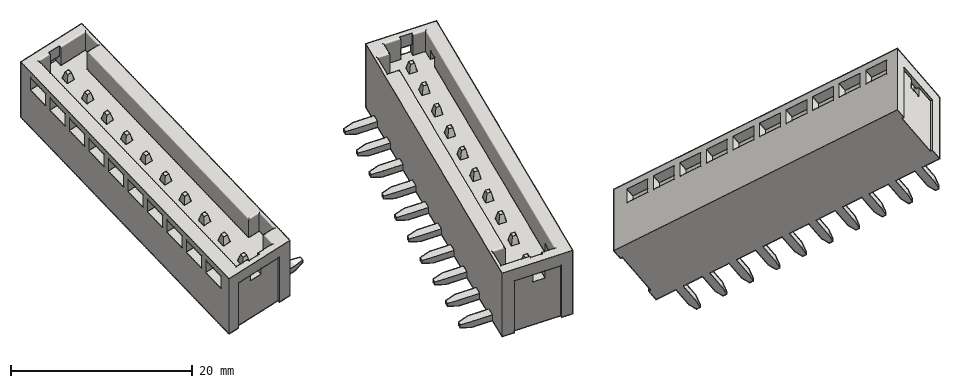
import cadquery as cq

LENGTH = 37.4
DEPTH = 8.53
HEIGHT = 10.4

CENTRE_X = 0.15
CAVITY_DEPTH = 3.35
CAVITY_LENGTH = 35.3
FRONT_WALL = 1.72
BACK_WALL = 1.87
KEYWAY_BACK_WALL = 0.4
RIM_FILLET = 0.2
LEFT_KEYWAY_WIDTH = 2.17
RIGHT_KEYWAY_WIDTH = 2.55
RIGHT_KEYWAY_OFFSET = 1.57
FLOOR_Z = HEIGHT - CAVITY_DEPTH
CAVITY_LEFT = CENTRE_X - CAVITY_LENGTH / 2
CAVITY_RIGHT = CENTRE_X + CAVITY_LENGTH / 2

PIN_COUNT = 10
PIN_ROW_SPAN = 31.5
PIN_SIZE = 0.97
TIP_SIZE = 0.5
TIP_LENGTH = 1.25
PIN_Y = 4.23
TAIL_REACH = 3.78
PITCH = PIN_ROW_SPAN / (PIN_COUNT - 1)
FIRST_PIN_X = CENTRE_X - PIN_ROW_SPAN / 2
PIN_XS = [FIRST_PIN_X + i * PITCH for i in range(PIN_COUNT)]

POCKET_WIDTH = 2.73
POCKET_HEIGHT = 2.3
POCKET_DEPTH = 1.2
SLOT_WIDTH = 1.2

PANEL_DEPTH = 0.25
PANEL_FRONT = 1.35
PANEL_BACK = 1.5
PANEL_HEIGHT = 8.5
GROOVE_WIDTH = 1.45
GROOVE_Y = 3.95
GROOVE_DEPTH = 0.3
OPENING_HEIGHT = PANEL_HEIGHT - FLOOR_Z


def block(x_start, x_end, y_min, y_max, z_min, z_max):
    """Axis-aligned box between the given limits; the limits in X may come in either order."""
    centre = ((x_start + x_end) / 2, (y_min + y_max) / 2, (z_min + z_max) / 2)
    return cq.Workplane().box(abs(x_end - x_start), y_max - y_min, z_max - z_min).translate(centre)


def make_housing():
    """Outer block with the cavity, its two keyways and the rounded rim."""
    housing = block(-LENGTH / 2, LENGTH / 2, 0, DEPTH, 0, HEIGHT)
    left = CAVITY_LEFT
    right = CAVITY_RIGHT
    back = DEPTH - BACK_WALL
    keyway_back = DEPTH - KEYWAY_BACK_WALL
    right_keyway_end = right - RIGHT_KEYWAY_OFFSET
    right_keyway_start = right_keyway_end - RIGHT_KEYWAY_WIDTH

    cavity = block(left, right, FRONT_WALL, back, FLOOR_Z, HEIGHT)
    left_keyway = block(left, left + LEFT_KEYWAY_WIDTH, back, keyway_back, FLOOR_Z, HEIGHT)
    right_keyway = block(right_keyway_start, right_keyway_end, back, keyway_back, FLOOR_Z, HEIGHT)
    housing = housing.cut(cavity.union(left_keyway).union(right_keyway).clean())

    inside_rim = cq.selectors.BoxSelector(
        (left - RIM_FILLET, FRONT_WALL - RIM_FILLET, FLOOR_Z),
        (right + RIM_FILLET, keyway_back + RIM_FILLET, HEIGHT + RIM_FILLET),
    )
    return housing.faces(">Z").edges(inside_rim).fillet(RIM_FILLET)


def cut_front_pockets(housing):
    """One blind pocket per pin; the two end pockets open into the cavity."""
    for x in PIN_XS:
        half = POCKET_WIDTH / 2
        housing = housing.cut(block(x - half, x + half, 0, POCKET_DEPTH, FLOOR_Z, FLOOR_Z + POCKET_HEIGHT))
    for x in (PIN_XS[0], PIN_XS[-1]):
        half = SLOT_WIDTH / 2
        housing = housing.cut(block(x - half, x + half, 0, FRONT_WALL, FLOOR_Z, FLOOR_Z + OPENING_HEIGHT))
    return housing


def cut_end(housing, face_x, cavity_x, inward):
    """Recessed panel, inner groove and through opening of one end wall.

    The inward direction is +1 at the left end and -1 at the right end.
    """
    panel_x = face_x + inward * PANEL_DEPTH
    groove_x = cavity_x - inward * GROOVE_DEPTH
    groove_front = GROOVE_Y - GROOVE_WIDTH / 2
    groove_back = GROOVE_Y + GROOVE_WIDTH / 2

    panel = block(face_x, panel_x, PANEL_FRONT, DEPTH - PANEL_BACK, 0, PANEL_HEIGHT)
    groove = block(groove_x, cavity_x, groove_front, groove_back, FLOOR_Z, HEIGHT)
    opening = block(face_x, cavity_x, groove_front, groove_back, FLOOR_Z, PANEL_HEIGHT)
    return housing.cut(panel).cut(groove).cut(opening)


def make_tip(plane):
    """Square tip tapering along the normal of the plane it starts on."""
    base = cq.Workplane(plane).rect(PIN_SIZE, PIN_SIZE)
    return base.workplane(offset=TIP_LENGTH).rect(TIP_SIZE, TIP_SIZE).loft(ruled=True)


def make_pin(x):
    """Right-angle pin: upright post into the cavity, tail out of the back."""
    half = PIN_SIZE / 2
    shoulder_y = DEPTH + TAIL_REACH - TIP_LENGTH
    post = block(x - half, x + half, PIN_Y - half, PIN_Y + half, 0, FLOOR_Z)
    tail = block(x - half, x + half, PIN_Y - half, shoulder_y, 0, PIN_SIZE)
    post_tip = make_tip(cq.Plane(origin=(x, PIN_Y, FLOOR_Z)))
    tail_tip = make_tip(cq.Plane(origin=(x, shoulder_y, half), xDir=(1, 0, 0), normal=(0, 1, 0)))
    return post.union(tail).union(post_tip).union(tail_tip)


result = cut_front_pockets(make_housing())
result = cut_end(result, -LENGTH / 2, CAVITY_LEFT, 1)
result = cut_end(result, LENGTH / 2, CAVITY_RIGHT, -1)

for pin_x in PIN_XS:
    result = result.union(make_pin(pin_x))